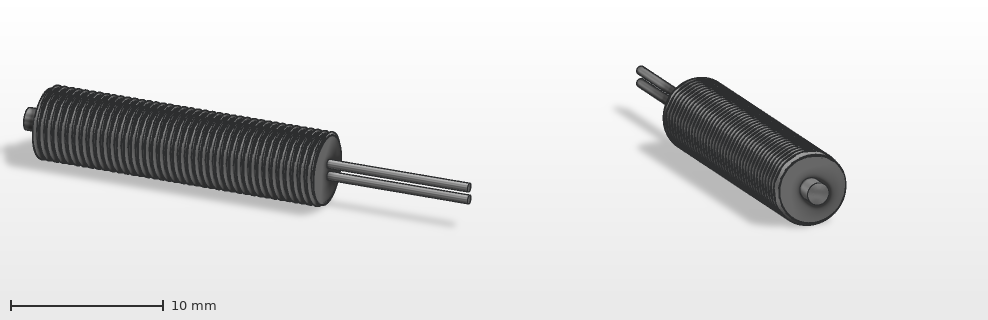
import cadquery as cq
import math

total_length = 31.5
body_length = 20.0
lead_length = body_length / 2
nose_length = total_length - body_length - lead_length
body_end = nose_length + body_length

thread_turns = 40
pitch = body_length / thread_turns
major_radius = 5.0 / 2
thread_depth = 0.305
root_radius = major_radius - thread_depth
crest_width = pitch / 8
root_width = pitch / 4
start_angle = 180

nose_radius = 0.75
dome_height = 0.13

lead_radius = 0.3
lead_spacing = 0.85

crest_half_angle = math.pi * crest_width / pitch
root_edge_angle = math.pi * (1 - root_width / pitch)


def polar_point(radius, angle):
    return (radius * math.cos(angle), radius * math.sin(angle))


def flank_point(fraction, side):
    """Point on a flank spiral: fraction 0 is at the crest, 1 at the root."""
    radius = major_radius - thread_depth * fraction
    angle = crest_half_angle + (root_edge_angle - crest_half_angle) * fraction
    return polar_point(radius, side * angle)


def threaded_body():
    """Row of identical turns, each a thread cross-section twisted once over one pitch."""
    section = (
        cq.Workplane("YZ", origin=(nose_length, 0, 0))
        .moveTo(*flank_point(0, -1))
        .threePointArc((major_radius, 0), flank_point(0, 1))
        .parametricCurve(lambda t: flank_point(t, 1), N=20, makeWire=False)
        .threePointArc((-root_radius, 0), flank_point(1, -1))
        .parametricCurve(lambda t: flank_point(1 - t, -1), N=20, makeWire=False)
        .wire()
    )
    turn = section.twistExtrude(pitch, 360).rotate((0, 0, 0), (1, 0, 0), start_angle).val()
    turns = [turn.translate(cq.Vector(index * pitch, 0, 0)) for index in range(thread_turns)]
    return cq.Workplane(turns[0].fuse(*turns[1:], glue=True))


def nose():
    """Round pin whose tip is a spherical cap."""
    dome_radius = (nose_radius**2 + dome_height**2) / (2 * dome_height)
    mid_depth = dome_height / 4
    mid_radius = math.sqrt(dome_radius**2 - (dome_radius - mid_depth) ** 2)
    return (
        cq.Workplane("XY")
        .threePointArc((mid_depth, mid_radius), (dome_height, nose_radius))
        .lineTo(nose_length, nose_radius)
        .lineTo(nose_length, 0)
        .close()
        .revolve(360, (0, 0, 0), (1, 0, 0))
    )


def lead(height):
    """Straight round wire leaving the rear face of the body."""
    return cq.Workplane("YZ", origin=(body_end, 0, height)).circle(lead_radius).extrude(lead_length)


result = threaded_body().union(nose(), clean=False)
for side in (-1, 1):
    result = result.union(lead(side * lead_spacing / 2), clean=False)